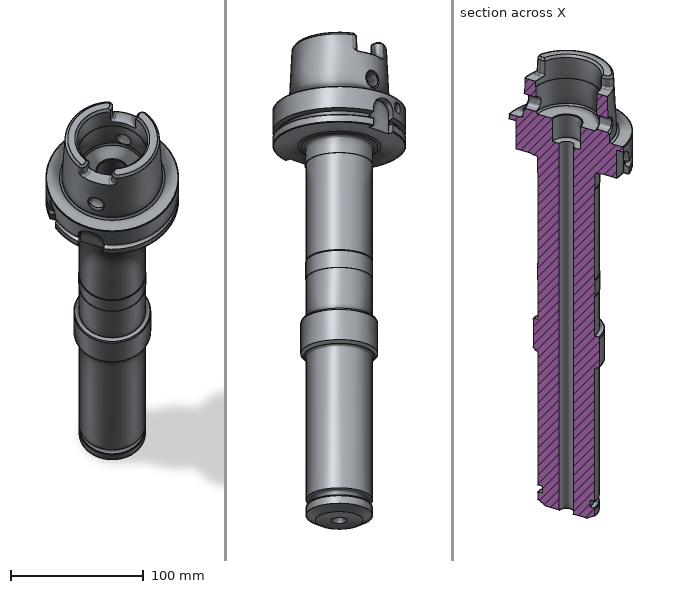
import cadquery as cq
import math

tolerance = 0.1

taper_length = 50.0
taper_base_radius = 38.0
taper_slope = 0.05
taper_tip_radius = taper_base_radius - taper_slope * taper_length
taper_start_z = 2.3
taper_start_radius = taper_base_radius - taper_slope * taper_start_z
root_flare_radius = 39.7
root_flare_height = 1.15
tip_chamfer_height = 1.5
tip_chamfer_width = 2.0

mouth_radius = 28.2
mouth_depth = 2.0
bore_radius = 53.0 / 2
lower_bore_radius = 52.6 / 2
bore_step_z = 30.0
floor_z = 7.0
floor_chamfer = lower_bore_radius - 50.0 / 2
coolant_bore_radius = 24.0 / 2
coolant_bore_depth = 20.0
coolant_bore_chamfer = 0.5
through_hole_radius = 12.0 / 2

tip_slot_width = 20.0
tip_slots = ((-1, 10.0), (1, 15.0))
slot_corner_radius = 4.0
slot_floor_fillet = 2.0

cross_hole_z = 14.9
cross_hole_radius = 12.0 / 2
cross_hole_mouth_radius = 14.4 / 2

flange_radius = 50.0
flange_thickness = 29.0
flange_bottom_z = -flange_thickness
flange_chamfer = 0.5
gripper_groove_z = -20.2
gripper_groove_radius = 46.0
gripper_floor_half_width = 1.6
gripper_mouth_half_width = 2.8

keyway_width = 20.0
keyway_top_z = -4.7
keyway_floor = 44.0
notch_wall = 31.8

chip_hole_radius = 8.5 / 2
chip_hole_depth = 4.6
chip_hole_z = -7.3
chip_hole_angle = 109.0

bottom_z = -332.0
shaft_radius = 50.0 / 2
land_radius = 50.5 / 2
hub_top_radius = 31.0
hub_bottom_radius = 29.0
hub_bottom_z = flange_bottom_z - 0.8
hub_fillet = 1.3
upper_land_end_z = -44.0
guide_land_top_z = -122.5
guide_land_bottom_z = -137.0
guide_land_chamfer = 0.75

collar_radius = 58.0 / 2
collar_top_z = -171.3
collar_top_chamfer_height = 1.3
collar_top_chamfer_width = 0.6
collar_bottom_z = -199.2
collar_bottom_chamfer = 2.2
collar_fillet = 1.0

ring_groove_radius = 42.0 / 2
ring_groove_top_z = -315.5
ring_groove_bottom_z = -321.0
ring_groove_fillet = 1.0
ring_groove_lip_height = 0.9
ring_groove_lip_width = 0.4
end_radius = 18.0
end_chamfer_height = 4.0


def revolve_about_z(points):
    """Solid of revolution about Z from (radius, z) points."""
    return cq.Workplane("XZ").polyline(points).close().revolve(360, (0, 0, 0), (0, 1, 0))


def make_taper():
    """Solid taper that flares out to the flange face, sunk halfway into the flange."""
    sunk_z = flange_bottom_z / 2
    return revolve_about_z([
        (0, sunk_z),
        (root_flare_radius, sunk_z),
        (root_flare_radius, 0),
        (taper_start_radius, root_flare_height),
        (taper_start_radius, taper_start_z),
        (taper_tip_radius, taper_length),
        (0, taper_length),
    ])


def cut_tip_slots(shank):
    """Opposed drive slots of different depth, one opening towards each Y side."""
    for side, depth in tip_slots:
        slot = (
            cq.Workplane("XY", origin=(0, side * flange_radius / 2, taper_length - depth))
            .rect(tip_slot_width, flange_radius)
            .extrude(depth)
        )
        shank = shank.cut(slot)
    return shank


def round_slot_corners(shank):
    """Round the upright corners where the slot walls meet the taper."""
    half_width = tip_slot_width / 2 + tolerance
    for side, depth in tip_slots:
        inner_corner = (-half_width, side * bore_radius, taper_length - depth + tolerance)
        outer_corner = (half_width, side * flange_radius, taper_length - tolerance)
        upright_edges = cq.selectors.BoxSelector(inner_corner, outer_corner)
        shank = shank.edges(upright_edges).fillet(slot_corner_radius)
    return shank


def cut_bore(shank):
    """Clamping bore, slightly narrower in its lower part, with a bevelled floor corner."""
    bore = revolve_about_z([
        (0, floor_z),
        (lower_bore_radius - floor_chamfer, floor_z),
        (lower_bore_radius, floor_z + floor_chamfer),
        (lower_bore_radius, bore_step_z),
        (bore_radius, bore_step_z),
        (bore_radius, taper_length),
        (0, taper_length),
    ])
    return shank.cut(bore)


def fillet_slot_floors(shank):
    """Fillet the slot floors along the side walls and round the outer corners."""
    for side, depth in tip_slots:
        slot_floor_z = taper_length - depth
        inner_corner = (-tip_slot_width, 0, slot_floor_z - tolerance)
        outer_corner = (tip_slot_width, side * flange_radius, slot_floor_z + tolerance)
        floor_edges = cq.selectors.BoxSelector(inner_corner, outer_corner)
        shank = shank.edges("|Y").edges(floor_edges).fillet(slot_floor_fillet)
    return shank


def cut_bore_mouth(shank):
    """Conical lead-in at the open end of the clamping bore."""
    mouth = revolve_about_z([
        (0, taper_length - mouth_depth),
        (bore_radius, taper_length - mouth_depth),
        (mouth_radius, taper_length),
        (0, taper_length),
    ])
    return shank.cut(mouth)


def drill_cross_hole(shank):
    """Hole through both walls along Y, countersunk from outside."""
    wall_radius = taper_base_radius - taper_slope * cross_hole_z
    sink_start = wall_radius - (cross_hole_mouth_radius - cross_hole_radius)
    sink_end_radius = cross_hole_radius + flange_radius - sink_start
    drill = (
        cq.Workplane("XY")
        .polyline([
            (0, -flange_radius),
            (sink_end_radius, -flange_radius),
            (cross_hole_radius, -sink_start),
            (cross_hole_radius, sink_start),
            (sink_end_radius, flange_radius),
            (0, flange_radius),
        ])
        .close()
        .revolve(360, (0, 0, 0), (0, 1, 0))
        .translate((0, 0, cross_hole_z))
    )
    return shank.cut(drill)


def make_shank():
    """Hollow taper shank with drive slots and cross hole."""
    shank = cut_tip_slots(make_taper())
    shank = round_slot_corners(shank)
    shank = shank.faces(">Z").edges().chamfer(tip_chamfer_height, tip_chamfer_width)
    shank = cut_bore(shank)
    shank = fillet_slot_floors(shank)
    shank = cut_bore_mouth(shank)
    return drill_cross_hole(shank)


def make_keyway(center_x, floor_distance):
    """Cutter for a round-topped keyway, open downwards and towards -Y."""
    half_width = keyway_width / 2
    spring_z = keyway_top_z - half_width
    return (
        cq.Workplane("XZ", origin=(center_x, -floor_distance, 0))
        .moveTo(-half_width, flange_bottom_z)
        .lineTo(-half_width, spring_z)
        .threePointArc((0, keyway_top_z), (half_width, spring_z))
        .lineTo(half_width, flange_bottom_z)
        .close()
        .extrude(flange_radius)
    )


def make_chip_hole():
    """Cutter for the blind radial hole in the flange rim."""
    return (
        cq.Workplane("YZ", origin=(flange_radius - chip_hole_depth, 0, chip_hole_z))
        .circle(chip_hole_radius)
        .extrude(flange_radius)
        .rotate((0, 0, 0), (0, 0, 1), chip_hole_angle)
    )


def make_flange():
    """Flange disc with gripper groove, two keyways, corner notch and data carrier hole."""
    flange = revolve_about_z([
        (0, 0),
        (flange_radius - flange_chamfer, 0),
        (flange_radius, -flange_chamfer),
        (flange_radius, gripper_groove_z + gripper_mouth_half_width),
        (gripper_groove_radius, gripper_groove_z + gripper_floor_half_width),
        (gripper_groove_radius, gripper_groove_z - gripper_floor_half_width),
        (flange_radius, gripper_groove_z - gripper_mouth_half_width),
        (flange_radius, flange_bottom_z + flange_chamfer),
        (flange_radius - flange_chamfer, flange_bottom_z),
        (0, flange_bottom_z),
    ])
    front_keyway = make_keyway(0, keyway_floor)
    back_keyway = front_keyway.rotate((0, 0, 0), (0, 0, 1), 180)
    notch = make_keyway(-notch_wall - keyway_width / 2, notch_wall)
    for cutter in (front_keyway, back_keyway, notch, make_chip_hole()):
        flange = flange.cut(cutter)
    return flange


def add_fillet_under_face(outline, root_radius, face_z, fillet_radius):
    """Run in along the downward face at face_z, then round into the cylinder of root_radius below."""
    shortfall = fillet_radius * (1 - math.sqrt(0.5))
    start = (root_radius + fillet_radius, face_z)
    middle = (root_radius + shortfall, face_z - shortfall)
    end = (root_radius, face_z - fillet_radius)
    return outline.lineTo(*start).threePointArc(middle, end)


def make_shaft():
    """Shaft with hub, guide lands, collar, ring groove and chamfered end."""
    sunk_z = flange_bottom_z / 2
    collar_face_radius = collar_radius - collar_bottom_chamfer

    outline = (
        cq.Workplane("XZ")
        .moveTo(0, sunk_z)
        .lineTo(hub_top_radius, sunk_z)
        .lineTo(hub_top_radius, flange_bottom_z)
        .lineTo(hub_bottom_radius, hub_bottom_z)
    )
    outline = add_fillet_under_face(outline, land_radius, hub_bottom_z, hub_fillet)
    outline = (
        outline.lineTo(land_radius, upper_land_end_z)
        .lineTo(shaft_radius, upper_land_end_z)
        .lineTo(shaft_radius, guide_land_top_z)
        .lineTo(land_radius, guide_land_top_z - guide_land_chamfer)
        .lineTo(land_radius, guide_land_bottom_z)
        .lineTo(shaft_radius, guide_land_bottom_z)
        .lineTo(shaft_radius, collar_top_z)
        .lineTo(collar_radius - collar_top_chamfer_width, collar_top_z)
        .lineTo(collar_radius, collar_top_z - collar_top_chamfer_height)
        .lineTo(collar_radius, collar_bottom_z + collar_bottom_chamfer)
        .lineTo(collar_face_radius, collar_bottom_z)
    )
    outline = add_fillet_under_face(outline, shaft_radius, collar_bottom_z, collar_fillet)
    outline = outline.lineTo(shaft_radius, ring_groove_top_z)
    outline = add_fillet_under_face(outline, ring_groove_radius, ring_groove_top_z, ring_groove_fillet)
    return (
        outline.lineTo(ring_groove_radius, ring_groove_bottom_z)
        .lineTo(shaft_radius - ring_groove_lip_width, ring_groove_bottom_z)
        .lineTo(shaft_radius, ring_groove_bottom_z - ring_groove_lip_height)
        .lineTo(shaft_radius, bottom_z + end_chamfer_height)
        .lineTo(end_radius, bottom_z)
        .lineTo(0, bottom_z)
        .close()
        .revolve(360, (0, 0, 0), (0, 1, 0))
    )


def make_axial_bore():
    """Cutter for the coolant bore in the shank floor and the hole through the shaft."""
    coolant_bore_end_z = floor_z - coolant_bore_depth
    return revolve_about_z([
        (0, bottom_z),
        (through_hole_radius, bottom_z),
        (through_hole_radius, coolant_bore_end_z),
        (coolant_bore_radius, coolant_bore_end_z),
        (coolant_bore_radius, floor_z - coolant_bore_chamfer),
        (coolant_bore_radius + coolant_bore_chamfer, floor_z),
        (0, floor_z),
    ])


result = make_flange().union(make_shaft()).union(make_shank()).cut(make_axial_bore())